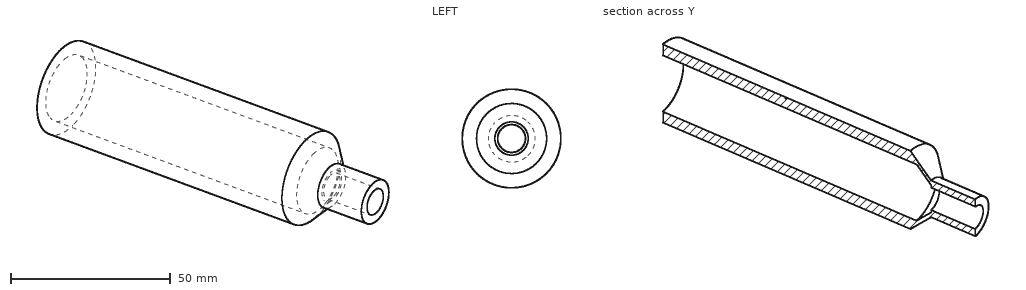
import cadquery as cq

total_length = 120.0
body_diameter = 31.0
neck_diameter = 14.6
body_length = 95.2
shoulder_length = 7.9

bore_diameter = 22.0
seat_diameter = 10.5
outlet_diameter = 8.6

neck_start = body_length + shoulder_length
body_radius = body_diameter / 2
neck_radius = neck_diameter / 2
bore_radius = bore_diameter / 2
seat_radius = seat_diameter / 2
outlet_radius = outlet_diameter / 2

shoulder_slope = shoulder_length / (body_radius - neck_radius)
taper_start = neck_start - (bore_radius - seat_radius) * shoulder_slope

half_section = [
    (0, bore_radius),
    (0, body_radius),
    (body_length, body_radius),
    (neck_start, neck_radius),
    (total_length, neck_radius),
    (total_length, outlet_radius),
    (neck_start, outlet_radius),
    (neck_start, seat_radius),
    (taper_start, bore_radius),
]

result = (
    cq.Workplane("XY")
    .polyline(half_section)
    .close()
    .revolve(360, (0, 0, 0), (1, 0, 0))
    .translate((-total_length / 2, 0, 0))
)